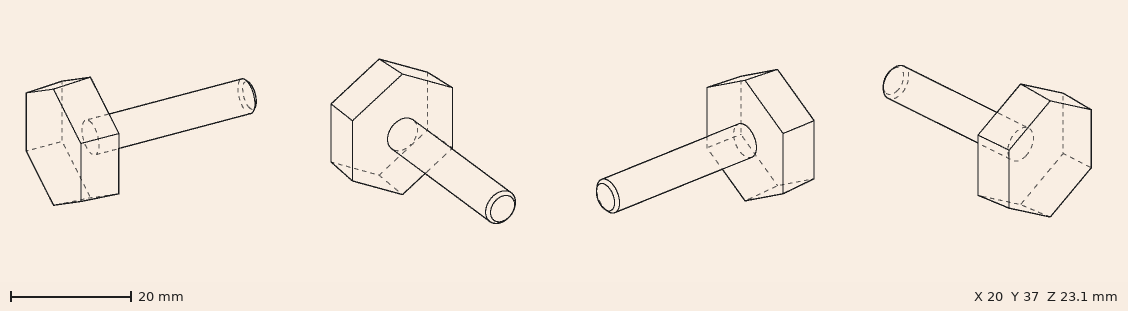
import cadquery as cq
import math

total_length = 37.0
head_height = 7.0
head_sides = 6
head_across_flats = 20.0
head_draft_angle = 3.0
shank_diameter = 6.0
tip_chamfer = 0.6

half_side_angle = 180 / head_sides
head_across_corners = head_across_flats / math.cos(math.radians(half_side_angle))
shank_length = total_length - head_height


def make_head():
    """Tapered hexagon from Y = 0 toward -Y, with two corners on the Z axis."""
    head = (
        cq.Workplane("XZ")
        .polygon(head_sides, head_across_corners)
        .extrude(head_height, taper=head_draft_angle)
    )
    return head.rotate((0, 0, 0), (0, 1, 0), half_side_angle)


def make_shank():
    """Round shank from Y = 0 toward +Y, with a chamfered tip."""
    shank = cq.Workplane("XZ").circle(shank_diameter / 2).extrude(-shank_length)
    return shank.faces(">Y").chamfer(tip_chamfer)


result = make_head().union(make_shank())